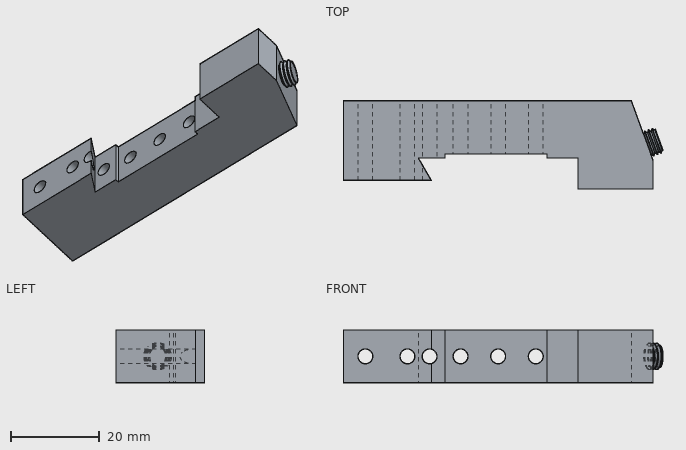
import cadquery as cq
import math

body_length = 70.0
body_depth = 20.0
body_height = 12.0

left_jaw_y = 2.0
seat_y = 7.0
seat_start_x = 17.0
seat_length = 36.0
seat_end_x = seat_start_x + seat_length
dovetail_angle = 30.0
dovetail_tip_x = seat_start_x + (seat_y - left_jaw_y) * math.tan(math.radians(dovetail_angle))

relief_depth = 0.9
relief_start_x = 23.0
relief_end_x = 46.0
relief_y = seat_y + relief_depth

slope_angle = 20.0
slope_bottom_y = 6.55
slope_tan = math.tan(math.radians(slope_angle))
slope_top_x = body_length - (body_depth - slope_bottom_y) * slope_tan

hole_diameter = 3.3
jaw_hole_positions = [5.0, 14.5, 19.5]
relief_hole_spacing = 8.5
relief_hole_positions = [body_length / 2 + step * relief_hole_spacing for step in (-1, 0, 1)]

screw_y = 10.13
screw_x = body_length - (screw_y - slope_bottom_y) * slope_tan
screw_major_radius = 3.0
screw_root_radius = 2.4
screw_projection = 2.9
screw_tip_radius = 2.58
screw_embed = 2.0
thread_pitch = 0.88
thread_count = 3
crest_width = 0.1
first_crest = 0.5


def make_body():
    outline = [
        (0, left_jaw_y),
        (dovetail_tip_x, left_jaw_y),
        (seat_start_x, seat_y),
        (relief_start_x, seat_y),
        (relief_start_x, relief_y),
        (relief_end_x, relief_y),
        (relief_end_x, seat_y),
        (seat_end_x, seat_y),
        (seat_end_x, 0),
        (body_length, 0),
        (body_length, slope_bottom_y),
        (slope_top_x, body_depth),
        (0, body_depth),
    ]
    return cq.Workplane("XY").polyline(outline).close().extrude(body_height)


def make_holes():
    centers = [(x, body_height / 2) for x in jaw_hole_positions + relief_hole_positions]
    return cq.Workplane("XZ").pushPoints(centers).circle(hole_diameter / 2).extrude(-body_depth)


def make_screw():
    """Screw turned about its own X axis, with the sloped face at x = 0."""
    profile = cq.Workplane("XY").moveTo(-screw_embed, 0).lineTo(-screw_embed, screw_root_radius)
    for index in range(thread_count):
        crest = first_crest + index * thread_pitch
        profile = profile.lineTo(crest - thread_pitch / 2, screw_root_radius)
        profile = profile.lineTo(crest - crest_width / 2, screw_major_radius)
        profile = profile.lineTo(crest + crest_width / 2, screw_major_radius)
    last_root = first_crest + (thread_count - 0.5) * thread_pitch
    profile = profile.lineTo(last_root, screw_root_radius)
    profile = profile.lineTo(screw_projection, screw_tip_radius)
    profile = profile.lineTo(screw_projection, 0).close()
    screw = profile.revolve(360, (0, 0, 0), (1, 0, 0))
    screw = screw.rotate((0, 0, 0), (0, 0, 1), slope_angle)
    return screw.translate((screw_x, screw_y, body_height / 2))


result = make_body().cut(make_holes()).union(make_screw())